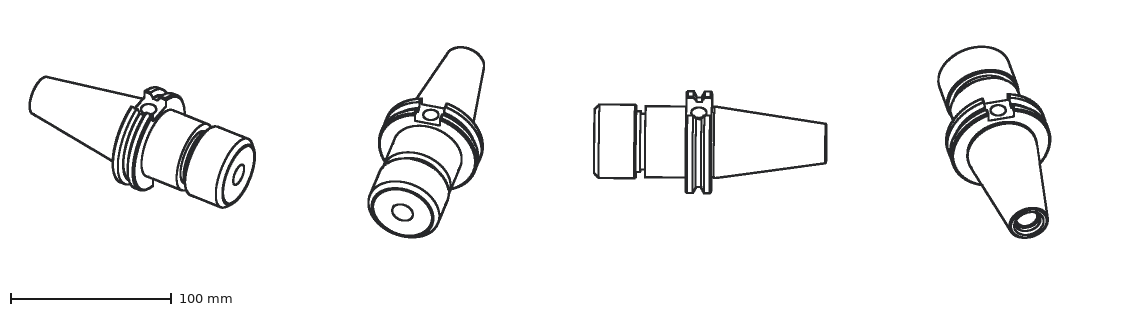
import cadquery as cq
import math


gauge_diameter = 44.45
taper_length = 68.25
taper_ratio = 7 / 24
small_end_face_diameter = 23.0
small_end_chamfer_length = 0.6
gauge_land_length = 1.6
relief_diameter = 43.6

flange_diameter = 63.5
flange_start = 3.18
flange_end = 19.05
flange_chamfer = 0.9
groove_center = 11.1
groove_mouth_width = 7.1
groove_floor_diameter = 56.0
groove_floor_width = 3.4
groove_flank_angle = 60.0

slot_width = 16.1
slot_edge_chamfer = 0.6
slot_floor_fillet = 0.5
upper_slot_floor = 25.0
lower_slot_floor = 22.6
dimple_diameter = 9.53
dimple_point_angle = 118.0

body_diameter = 44.45
body_end = 44.45
neck_diameter = 35.0
neck_end = 47.5
spigot_diameter = 38.1

bore_diameter = 13.39
pull_stud_diameter = 16.3
pull_stud_depth = 5.3
countersink_diameter = 18.92
countersink_length = 2.3

nut_diameter = 46.0
nut_start = 50.2
nut_end = 76.2
nut_rear_chamfer = 0.9
nut_front_chamfer = 3.0

small_end = -taper_length


def revolve_about_x(points):
    """Turn a closed (x, radius) outline into a solid of revolution about X."""
    return cq.Workplane("XZ").polyline(points).close().revolve(360, (0, 0, 0), (1, 0, 0))


def make_holder_blank():
    gauge_radius = gauge_diameter / 2
    chamfer_end = small_end + small_end_chamfer_length
    chamfer_radius = gauge_radius + chamfer_end * taper_ratio / 2
    flange_radius = flange_diameter / 2
    shoulder_radius = flange_radius - flange_chamfer
    flank_depth = (groove_mouth_width - groove_floor_width) / 2 * math.tan(math.radians(groove_flank_angle))
    flank_radius = flange_radius - flank_depth
    groove_radius = groove_floor_diameter / 2
    return revolve_about_x([
        (small_end, 0),
        (small_end, small_end_face_diameter / 2),
        (chamfer_end, chamfer_radius),
        (0, gauge_radius),
        (gauge_land_length, gauge_radius),
        (gauge_land_length, relief_diameter / 2),
        (flange_start, relief_diameter / 2),
        (flange_start, shoulder_radius),
        (flange_start + flange_chamfer, flange_radius),
        (groove_center - groove_mouth_width / 2, flange_radius),
        (groove_center - groove_floor_width / 2, flank_radius),
        (groove_center - groove_floor_width / 2, groove_radius),
        (groove_center + groove_floor_width / 2, groove_radius),
        (groove_center + groove_floor_width / 2, flank_radius),
        (groove_center + groove_mouth_width / 2, flange_radius),
        (flange_end - flange_chamfer, flange_radius),
        (flange_end, shoulder_radius),
        (flange_end, body_diameter / 2),
        (body_end, body_diameter / 2),
        (body_end, neck_diameter / 2),
        (neck_end, neck_diameter / 2),
        (neck_end, spigot_diameter / 2),
        (nut_end, spigot_diameter / 2),
        (nut_end, 0),
    ])


def make_slot(floor, side):
    """Drive slot on the +Z (side = 1) or -Z (side = -1) half, flared where it meets the rim."""
    half_width = slot_width / 2
    flare = half_width + slot_edge_chamfer
    outside = flange_diameter / 2
    rim = math.sqrt(outside ** 2 - flare ** 2)
    outline = [
        (-half_width, side * floor),
        (half_width, side * floor),
        (half_width, side * (rim - slot_edge_chamfer)),
        (flare, side * rim),
        (flare, side * outside),
        (-flare, side * outside),
        (-flare, side * rim),
        (-half_width, side * (rim - slot_edge_chamfer)),
    ]
    profile = cq.Workplane("YZ", origin=(flange_start, 0, 0)).polyline(outline).close()
    slot = profile.extrude(flange_end - flange_start)
    floor_edges = slot.faces("<Z" if side > 0 else ">Z").edges("|X")
    return slot.newObject(floor_edges.vals()).fillet(slot_floor_fillet)


def make_dimple():
    """Drill-point mark in the floor of the upper slot."""
    radius = dimple_diameter / 2
    depth = radius / math.tan(math.radians(dimple_point_angle / 2))
    cone = cq.Solid.makeCone(
        radius, 0, depth, cq.Vector((flange_start + flange_end) / 2, 0, upper_slot_floor), cq.Vector(0, 0, -1)
    )
    return cq.Workplane(obj=cone)


def make_bore():
    return revolve_about_x([
        (small_end, 0),
        (small_end, countersink_diameter / 2),
        (small_end + countersink_length, pull_stud_diameter / 2),
        (small_end + pull_stud_depth, pull_stud_diameter / 2),
        (small_end + pull_stud_depth, bore_diameter / 2),
        (nut_end, bore_diameter / 2),
        (nut_end, 0),
    ])


def make_holder():
    holder = make_holder_blank()
    for floor, side in ((upper_slot_floor, 1), (lower_slot_floor, -1)):
        holder = holder.cut(make_slot(floor, side))
    return holder.cut(make_dimple()).cut(make_bore())


def make_nut():
    """Ring that fits over the spigot."""
    radius = nut_diameter / 2
    return revolve_about_x([
        (nut_start, spigot_diameter / 2),
        (nut_start, radius - nut_rear_chamfer),
        (nut_start + nut_rear_chamfer, radius),
        (nut_end - nut_front_chamfer, radius),
        (nut_end, radius - nut_front_chamfer),
        (nut_end, spigot_diameter / 2),
    ])


holder = make_holder()
nut = make_nut()
result = cq.Compound.makeCompound([holder.val(), nut.val()])